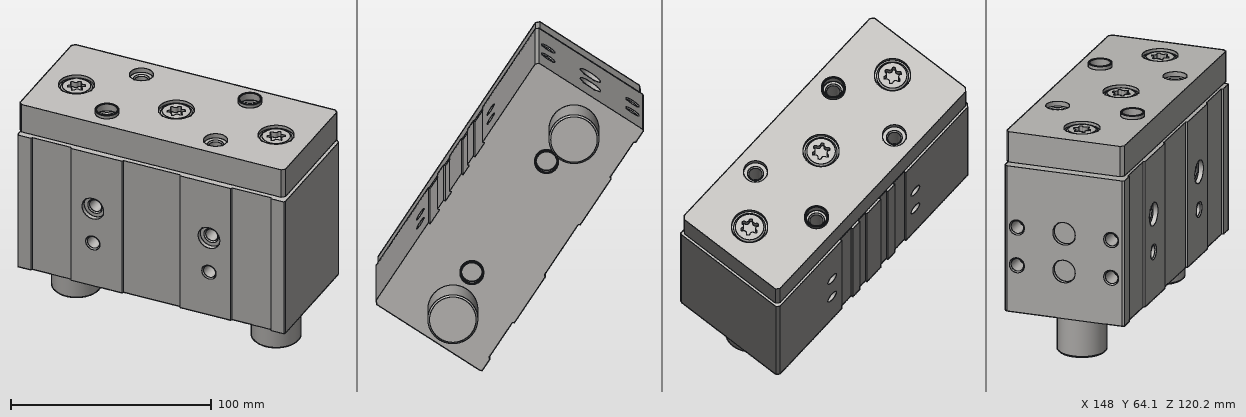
import cadquery as cq
import math


housing_width = 148.0
housing_depth = 64.1
housing_height = 77.5
back_chamfer = 1.5
front_chamfer_depth = 1.0
panel_recess = 0.9
groove_depth = 1.0
step_run = 0.5
front_recess_spans = [(-66.5, -44.1), (-16.0, 16.0), (44.1, 66.5)]
back_groove_spans = [(-24.7, -16.3), (-10.8, -5.3), (5.3, 10.8), (16.3, 24.7)]

plate_width = 146.8
plate_depth = 62.8
plate_thickness = 16.1
plate_chamfer = 1.6
plate_gap = 1.9
plate_bottom = housing_height + plate_gap
plate_top = plate_bottom + plate_thickness

rod_axis_y = -2.5
guide_x = 55.2
guide_diameter = 25.0
guide_bottom = -22.6
guide_chamfer = 0.9
piston_diameter = 13.6
piston_bottom = housing_height / 2

screw_seat_diameter = 18.0
screw_seat_depth = 1.8
screw_head_diameter = 16.0
screw_head_sink = 0.7
screw_head_chamfer = 0.9
star_tip_radius = 4.6
star_flank_radius = 3.8
star_valley_radius = 3.1
star_flank_angle = 13
star_depth = 3.0
star_lobes = 6

sleeve_outer = 12.0
sleeve_inner = 10.4
sleeve_chamfer = 0.3
sleeve_seat_depth = 2.5
sleeve_length = 4.6
bottom_sleeve_x = 34.0

thread_diameter = 6.7
thread_mouth = 8.0
plate_hole_x = 30.0
plate_hole_y = 20.0
front_hole_x = 32.1
lower_row_z = 25.2
upper_row_z = 45.3
side_hole_y = 25.2
side_hole_depth = 11.8
drill_tip_angle = 118.0

port_diameter = 12.0
port_depth = 2.2


def cylinder(point, direction, diameter, length):
    """Solid cylinder starting at a point and running along a direction."""
    return cq.Workplane(obj=cq.Solid.makeCylinder(diameter / 2, length, cq.Vector(*point), cq.Vector(*direction)))


def cone(point, direction, start_diameter, end_diameter):
    """Solid 45-degree cone narrowing along a direction."""
    length = (start_diameter - end_diameter) / 2
    return cq.Workplane(
        obj=cq.Solid.makeCone(
            start_diameter / 2, end_diameter / 2, length, cq.Vector(*point), cq.Vector(*direction)
        )
    )


def threaded_hole(point, direction, length):
    """Core hole with a 45-degree mouth chamfer, as a cutting body."""
    mouth = cone(point, direction, thread_mouth, thread_diameter)
    return cylinder(point, direction, thread_diameter, length).union(mouth)


def housing_outline():
    """Corner points with narrow chamfers in front and 45-degree chamfers at the back."""
    half_width = housing_width / 2
    half_depth = housing_depth / 2
    right = [
        (half_width - step_run, -half_depth),
        (half_width, front_chamfer_depth - half_depth),
        (half_width, half_depth - back_chamfer),
        (half_width - back_chamfer, half_depth),
    ]
    left = [(-x, y) for x, y in reversed(right)]
    return right + left


def make_housing():
    """Housing block with its bores, holes, ports and sleeve seats."""
    front = -housing_depth / 2
    back = housing_depth / 2
    body = cq.Workplane("XY").polyline(housing_outline()).close().extrude(housing_height)
    for start, end in front_recess_spans:
        floor = front + panel_recess
        recess = [(start, front), (end, front), (end - step_run, floor), (start + step_run, floor)]
        body = body.cut(cq.Workplane("XY").polyline(recess).close().extrude(housing_height))
    for start, end in back_groove_spans:
        groove = [(start, back), (end, back), (end, back - groove_depth), (start, back - groove_depth)]
        body = body.cut(cq.Workplane("XY").polyline(groove).close().extrude(housing_height))
    for x in (-guide_x, guide_x):
        body = body.cut(cylinder((x, rod_axis_y, 0), (0, 0, 1), guide_diameter, housing_height))
    piston_length = housing_height - piston_bottom
    body = body.cut(cylinder((0, rod_axis_y, piston_bottom), (0, 0, 1), piston_diameter, piston_length))
    for x in (-front_hole_x, front_hole_x):
        body = body.cut(threaded_hole((x, front, lower_row_z), (0, 1, 0), housing_depth))
        seat = (x, front, upper_row_z)
        seat_floor = (x, front + sleeve_seat_depth, upper_row_z)
        body = body.cut(cylinder(seat, (0, 1, 0), sleeve_outer, sleeve_seat_depth))
        body = body.cut(threaded_hole(seat_floor, (0, 1, 0), housing_depth))
    tip_length = thread_diameter / 2 / math.tan(math.radians(drill_tip_angle / 2))
    for z in (lower_row_z, upper_row_z):
        body = body.cut(cylinder((-housing_width / 2, 0, z), (1, 0, 0), port_diameter, port_depth))
        for y in (-side_hole_y, side_hole_y):
            body = body.cut(threaded_hole((-housing_width / 2, y, z), (1, 0, 0), side_hole_depth))
            tip_base = cq.Vector(side_hole_depth - housing_width / 2, y, z)
            tip = cq.Solid.makeCone(thread_diameter / 2, 0, tip_length, tip_base, cq.Vector(1, 0, 0))
            body = body.cut(cq.Workplane(obj=tip))
    for x in (-bottom_sleeve_x, bottom_sleeve_x):
        body = body.cut(cylinder((x, 0, 0), (0, 0, 1), sleeve_outer, sleeve_seat_depth))
    return body


def polar(radius, angle):
    """Point at a radius and an angle in degrees."""
    return radius * math.cos(math.radians(angle)), radius * math.sin(math.radians(angle))


def star_socket():
    """Six-lobed star socket with round lobes and round valleys, as a cutting body standing on XY."""
    pitch = 360 / star_lobes
    outline = cq.Workplane("XY").moveTo(*polar(star_flank_radius, 90 - star_flank_angle))
    for lobe in range(star_lobes):
        tip = 90 + lobe * pitch
        tip_end = polar(star_flank_radius, tip + star_flank_angle)
        next_start = polar(star_flank_radius, tip + pitch - star_flank_angle)
        outline = outline.threePointArc(polar(star_tip_radius, tip), tip_end)
        outline = outline.threePointArc(polar(star_valley_radius, tip + pitch / 2), next_start)
    return outline.close().extrude(star_depth)


def make_screw_head(x):
    """Screw head with a chamfered rim, standing on the floor of its seat."""
    return (
        cq.Workplane("XY", origin=(x, rod_axis_y, plate_top - screw_seat_depth))
        .circle(screw_head_diameter / 2)
        .extrude(screw_seat_depth - screw_head_sink)
        .faces(">Z")
        .chamfer(screw_head_chamfer)
    )


def make_carriage():
    """Yoke plate with its guide rods, piston rod and screw heads."""
    body = (
        cq.Workplane("XY", origin=(0, 0, plate_bottom))
        .box(plate_width, plate_depth, plate_thickness, centered=(True, True, False))
        .edges("|Z")
        .chamfer(plate_chamfer)
    )
    for x in (-guide_x, guide_x):
        length = plate_bottom - guide_bottom
        rod = cylinder((x, rod_axis_y, guide_bottom), (0, 0, 1), guide_diameter, length)
        body = body.union(rod.faces("<Z").chamfer(guide_chamfer))
    piston_length = plate_bottom - piston_bottom
    body = body.union(cylinder((0, rod_axis_y, piston_bottom), (0, 0, 1), piston_diameter, piston_length))
    for x in (-guide_x, 0, guide_x):
        body = body.cut(cylinder((x, rod_axis_y, plate_top), (0, 0, -1), screw_seat_diameter, screw_seat_depth))
        body = body.union(make_screw_head(x))
        star_floor = plate_top - screw_head_sink - star_depth
        body = body.cut(star_socket().translate((x, rod_axis_y, star_floor)))
    for x in (-plate_hole_x, plate_hole_x):
        for y in (-plate_hole_y, plate_hole_y):
            body = body.cut(cylinder((x, y, plate_top), (0, 0, -1), sleeve_outer, sleeve_seat_depth))
            seat_floor = (x, y, plate_top - sleeve_seat_depth)
            body = body.cut(threaded_hole(seat_floor, (0, 0, -1), plate_thickness - sleeve_seat_depth))
    return body


def make_sleeve(x, y, bottom):
    """Thin ring with all its rim edges chamfered."""
    return (
        cq.Workplane("XY", origin=(x, y, bottom))
        .circle(sleeve_outer / 2)
        .circle(sleeve_inner / 2)
        .extrude(sleeve_length)
        .faces("<Z or >Z")
        .chamfer(sleeve_chamfer)
    )


housing = make_housing()
carriage = make_carriage()

sleeve_places = [
    (-plate_hole_x, -plate_hole_y, plate_top - sleeve_seat_depth),
    (plate_hole_x, plate_hole_y, plate_top - sleeve_seat_depth),
    (-bottom_sleeve_x, 0, sleeve_seat_depth - sleeve_length),
    (bottom_sleeve_x, 0, sleeve_seat_depth - sleeve_length),
]
sleeves = [make_sleeve(*place) for place in sleeve_places]

result = cq.Compound.makeCompound([housing.val(), carriage.val(), *[sleeve.val() for sleeve in sleeves]])